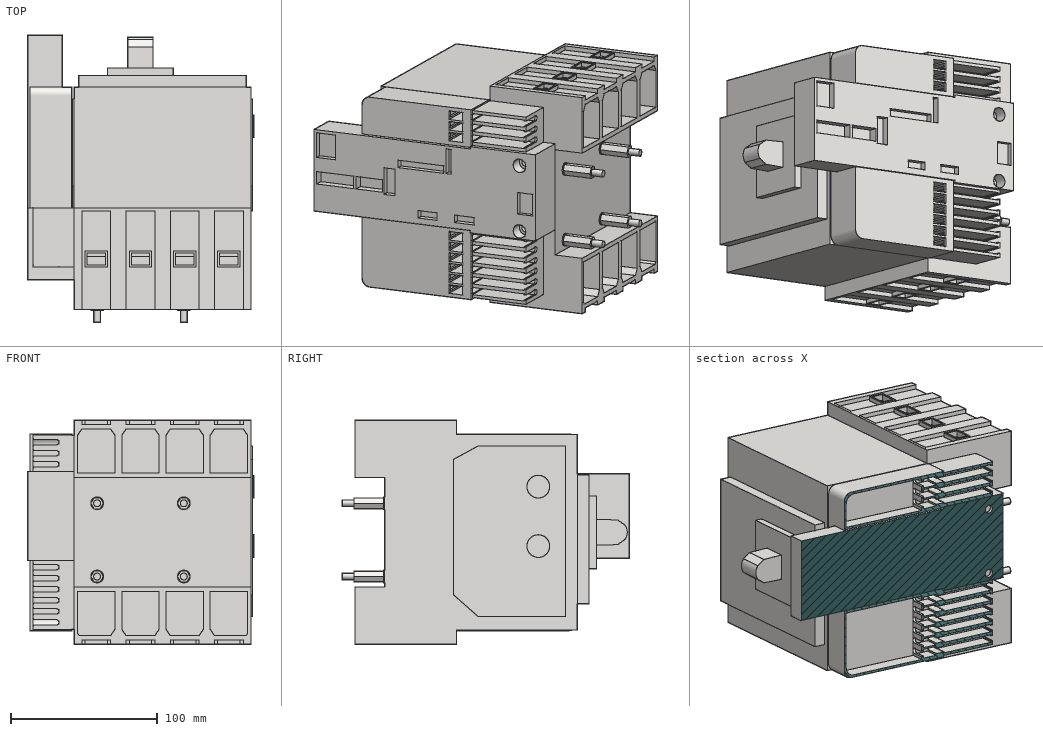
import cadquery as cq


HOUSING_HALF_WIDTH = 60.4
HOUSING_HALF_HEIGHT = 66.8
HOUSING_BACK = 131.5
BLOCK_FRONT = -20.4
BLOCK_BACK = 49.2
BLOCK_INNER = 37.2
OVERALL_HEIGHT = 153.0
BLOCK_OUTER = OVERALL_HEIGHT / 2
REAR_PANEL_HALF_WIDTH = 57.2
REAR_PANEL_BOTTOM = -48.8
REAR_PANEL_TOP = 39.2
REAR_PANEL_BACK = 139.5

POLE_COUNT = 4
POLE_PITCH = 30.2
CHAMBER_WIDTH = 25.5
CHAMBER_INNER = 40.4
CHAMBER_OUTER = 70.5
CHAMBER_DEPTH = 39.2
CHAMBER_CHAMFER_X = 3.0
CHAMBER_CHAMFER_Z = 4.3
CORNER_CHAMFER = 1.4
GROOVE_WIDTH = 19.6
GROOVE_DEPTH = 3.0
GROOVE_BACK = 47.0
COLLAR_WIDTH = 15.3
COLLAR_FRONT = 8.6
COLLAR_BACK = 19.8
COLLAR_WALL = 1.4
COLLAR_STEP = 15.9
COLLAR_STEP_DEPTH = 1.4

PLATE_THICKNESS = 1.2
PLATE_FRONT = 47.0
PLATE_BACK = 123.5
PLATE_TOP = 59.0
PLATE_BOTTOM = -57.6
PLATE_CUT_Y = 16.9
PLATE_CUT_TOP = 9.2
PLATE_CUT_BOTTOM = 14.9
DISC_DIAMETER = 15.5
DISC_THICKNESS = 0.8
DISC_Y = 104.9
DISC_HEIGHTS = (31.2, -9.5)

HANDLE_X = -15.0
HANDLE_WIDTH = 17.5
BEZEL_WIDTH = 45.0
BEZEL_HALF_HEIGHT = 24.9
BEZEL_BACK = 144.6
HANDLE_ROOT_HALF = 8.8
HANDLE_SHOULDER_Y = 159.0
HANDLE_SHOULDER_HALF = 8.5
HANDLE_NOSE_Y = 164.0
HANDLE_NOSE_HALF = 4.9
HANDLE_TIP = 165.6

STANDOFF_XS = (-44.7, 14.5)
STANDOFF_ZS = (19.8, -30.2)
STANDOFF_HEX = 8.6
STANDOFF_LENGTH = 21.0
STANDOFF_WASHER = 0.8
STUD_DIAMETER = 4.7
STUD_TIP = -29.0

COVER_LEFT = -92.1
COVER_RIGHT = -68.5
COVER_BACK = 167.0
COVER_TOP = 40.0
COVER_BOTTOM = -17.8
COVER_FOOT_TOP = 41.5
COVER_FOOT_BOTTOM = -19.5
SCREW_Y = 12.0
SCREW_ZS = (32.3, -14.1)
SCREW_HEAD_DIAMETER = 9.5
SCREW_HEAD_DEPTH = 9.8
SCREW_HOLE_DIAMETER = 5.5
SCREW_HOLE_DEPTH = 13.7
COVER_RECESSES = (
    (151.0, 165.0, 20.4, 37.8, 4.9),
    (137.2, 165.0, 1.5, 10.4, 6.9),
    (115.5, 135.2, 1.5, 10.4, 6.9),
    (106.0, 114.3, 0.2, 19.0, 4.9),
    (69.2, 103.5, 20.4, 25.7, 4.9),
    (63.5, 67.5, 20.4, 37.8, 4.9),
    (74.3, 88.4, -13.5, -8.2, 4.9),
    (46.3, 61.0, -13.5, -8.2, 4.9),
    (2.2, 13.3, -2.0, 13.3, 3.5),
)

MODULE_LEFT = -90.5
MODULE_RIGHT = -62.0
MODULE_HALF_HEIGHT = 67.2
MODULE_FILLET = 5.9
COVER_GAP = 0.5
FOOT_LEFT = -88.4
FOOT_FRONT = 8.8
FOOT_HALF_HEIGHT = 66.2
SLOT_OUTERMOST = 61.5
UPPER_SLOT_INNERMOST = 46.5
UPPER_SLOT_COUNT = 3
SLOT_PITCH = (SLOT_OUTERMOST - UPPER_SLOT_INNERMOST) / (UPPER_SLOT_COUNT - 1)
LOWER_SLOT_COUNT = 6
SLOT_RIGHT = -70.8
TUNNEL_HEIGHT = 3.7
SIDE_SLOT_HEIGHT = 5.0
SLOT_WALL = 1.4
WINDOW_FRONT = 55.7
WINDOW_BACK = 65.9
WINDOW_HEIGHT = 6.0
CAVITY_WALL = 2.0


def box(x0, x1, y0, y1, z0, z1):
    """Block between two values on each axis."""
    return cq.Workplane("XY").box(x1 - x0, y1 - y0, z1 - z0, centered=False).translate((x0, y0, z0))


def chamber(pole_x, side, left_chamfer, right_chamfer):
    """Wire chamber with its two outer corners cut off; side is +1 above, -1 below."""
    half = CHAMBER_WIDTH / 2
    outline = [
        (pole_x - half, side * CHAMBER_INNER),
        (pole_x + half, side * CHAMBER_INNER),
        (pole_x + half, side * (CHAMBER_OUTER - right_chamfer[1])),
        (pole_x + half - right_chamfer[0], side * CHAMBER_OUTER),
        (pole_x - half + left_chamfer[0], side * CHAMBER_OUTER),
        (pole_x - half, side * (CHAMBER_OUTER - left_chamfer[1])),
    ]
    front = cq.Workplane("XZ", origin=(0, BLOCK_FRONT, 0))
    return front.polyline(outline).close().extrude(-CHAMBER_DEPTH)


def groove(pole_x, side):
    """Groove along the block's outer face, leaving a flush collar around the screw well."""
    floor = BLOCK_OUTER - GROOVE_DEPTH
    half = COLLAR_WIDTH / 2
    inner_half = half - COLLAR_WALL
    well_front = COLLAR_FRONT + COLLAR_WALL
    well_back = COLLAR_BACK - COLLAR_WALL
    cut = box(-GROOVE_WIDTH / 2, GROOVE_WIDTH / 2, BLOCK_FRONT, GROOVE_BACK, floor, BLOCK_OUTER)
    cut = cut.cut(box(-half, half, COLLAR_FRONT, COLLAR_BACK, floor, BLOCK_OUTER))
    cut = cut.union(box(-inner_half, inner_half, well_front, well_back, floor, BLOCK_OUTER))
    cut = cut.union(
        box(-inner_half, inner_half, well_front, COLLAR_STEP, floor - COLLAR_STEP_DEPTH, BLOCK_OUTER)
    )
    if side < 0:
        cut = cut.mirror("XY")
    return cut.translate((pole_x, 0, 0))


def side_plate():
    """Thin plate on the +X wall with its two front corners cut off."""
    outline = [
        (PLATE_BACK, PLATE_TOP),
        (PLATE_FRONT + PLATE_CUT_Y, PLATE_TOP),
        (PLATE_FRONT, PLATE_TOP - PLATE_CUT_TOP),
        (PLATE_FRONT, PLATE_BOTTOM + PLATE_CUT_BOTTOM),
        (PLATE_FRONT + PLATE_CUT_Y, PLATE_BOTTOM),
        (PLATE_BACK, PLATE_BOTTOM),
    ]
    wall = cq.Workplane("YZ", origin=(HOUSING_HALF_WIDTH, 0, 0))
    return wall.polyline(outline).close().extrude(PLATE_THICKNESS)


def plate_recess():
    """Room for the housing's -X plate where the cover and module lie against the housing."""
    return side_plate().mirror("YZ")


def make_housing():
    """Breaker housing with its terminal blocks, rear panel, handle bezel and side plates."""
    width = HOUSING_HALF_WIDTH
    body = box(-width, width, 0, HOUSING_BACK, -HOUSING_HALF_HEIGHT, HOUSING_HALF_HEIGHT)
    for z0, z1 in ((BLOCK_INNER, BLOCK_OUTER), (-BLOCK_OUTER, -BLOCK_INNER)):
        body = body.union(box(-width, width, BLOCK_FRONT, BLOCK_BACK, z0, z1))

    full_cut = (CHAMBER_CHAMFER_X, CHAMBER_CHAMFER_Z)
    small_cut = (CORNER_CHAMFER, CORNER_CHAMFER)
    last = POLE_COUNT - 1
    for pole in range(POLE_COUNT):
        pole_x = (pole - last / 2) * POLE_PITCH
        for side in (1, -1):
            left_cut = small_cut if side < 0 and pole == 0 else full_cut
            right_cut = small_cut if side < 0 and pole == last else full_cut
            body = body.cut(chamber(pole_x, side, left_cut, right_cut))
            body = body.cut(groove(pole_x, side))

    body = body.union(
        box(
            -REAR_PANEL_HALF_WIDTH, REAR_PANEL_HALF_WIDTH,
            HOUSING_BACK, REAR_PANEL_BACK,
            REAR_PANEL_BOTTOM, REAR_PANEL_TOP,
        )
    )
    body = body.union(
        box(
            HANDLE_X - BEZEL_WIDTH / 2, HANDLE_X + BEZEL_WIDTH / 2,
            REAR_PANEL_BACK, BEZEL_BACK,
            -BEZEL_HALF_HEIGHT, BEZEL_HALF_HEIGHT,
        )
    )

    body = body.union(side_plate()).union(side_plate().mirror("YZ"))
    plate_face = cq.Workplane("YZ", origin=(HOUSING_HALF_WIDTH + PLATE_THICKNESS, 0, 0))
    discs = plate_face.pushPoints([(DISC_Y, z) for z in DISC_HEIGHTS])
    return body.union(discs.circle(DISC_DIAMETER / 2).extrude(DISC_THICKNESS))


def make_handle():
    """Toggle lever with tapering sides, sloping shoulders and a rounded tip."""
    profile = (
        cq.Workplane("YZ", origin=(HANDLE_X - HANDLE_WIDTH / 2, 0, 0))
        .moveTo(BEZEL_BACK, -HANDLE_ROOT_HALF)
        .lineTo(BEZEL_BACK, HANDLE_ROOT_HALF)
        .lineTo(HANDLE_SHOULDER_Y, HANDLE_SHOULDER_HALF)
        .lineTo(HANDLE_NOSE_Y, HANDLE_NOSE_HALF)
        .threePointArc((HANDLE_TIP, 0), (HANDLE_NOSE_Y, -HANDLE_NOSE_HALF))
        .lineTo(HANDLE_SHOULDER_Y, -HANDLE_SHOULDER_HALF)
        .close()
    )
    return profile.extrude(HANDLE_WIDTH)


def make_standoff(x, z):
    """Hexagonal spacer with a round washer at its base and a threaded stud at its tip."""
    base = cq.Workplane("XZ", origin=(x, 0, z))
    washer = base.circle(STANDOFF_HEX / 2).extrude(STANDOFF_WASHER)
    spacer = base.polygon(6, STANDOFF_HEX).extrude(STANDOFF_LENGTH)
    stud = base.circle(STUD_DIAMETER / 2).extrude(-STUD_TIP)
    return washer.union(spacer).union(stud)


def make_cover():
    """Long cover along the module, with a thicker foot reaching in to the housing."""
    arm = box(COVER_LEFT, COVER_RIGHT, 0, COVER_BACK, COVER_BOTTOM, COVER_TOP)
    foot = box(COVER_LEFT, -HOUSING_HALF_WIDTH, 0, BLOCK_BACK, COVER_FOOT_BOTTOM, COVER_FOOT_TOP)
    body = arm.union(foot)
    for y0, y1, z0, z1, depth in COVER_RECESSES:
        body = body.cut(box(COVER_LEFT, COVER_LEFT + depth, y0, y1, z0, z1))
    screws = cq.Workplane("YZ", origin=(COVER_LEFT, 0, 0)).pushPoints([(SCREW_Y, z) for z in SCREW_ZS])
    body = body.cut(screws.circle(SCREW_HEAD_DIAMETER / 2).extrude(SCREW_HEAD_DEPTH))
    body = body.cut(screws.circle(SCREW_HOLE_DIAMETER / 2).extrude(SCREW_HOLE_DEPTH))
    return body.cut(plate_recess())


def slot_cuts(z):
    """One wiring slot: side slot, window and the round-ended tunnel that links them."""
    radius = TUNNEL_HEIGHT / 2
    tunnel_back = HOUSING_BACK - MODULE_FILLET
    tunnel = box(FOOT_LEFT, SLOT_RIGHT - radius, FOOT_FRONT, tunnel_back, z - radius, z + radius)
    end = cq.Workplane("XZ", origin=(SLOT_RIGHT - radius, FOOT_FRONT, z)).circle(radius)
    tunnel = tunnel.union(end.extrude(FOOT_FRONT - tunnel_back))
    half_slot = SIDE_SLOT_HEIGHT / 2
    side = box(FOOT_LEFT, SLOT_RIGHT, FOOT_FRONT + SLOT_WALL, BLOCK_BACK, z - half_slot, z + half_slot)
    half_window = WINDOW_HEIGHT / 2
    window = box(MODULE_LEFT, SLOT_RIGHT, WINDOW_FRONT, WINDOW_BACK, z - half_window, z + half_window)
    return tunnel.union(side).union(window)


def cavity(bottom, top, rounded_edge):
    """Hollow behind the windows, rounded along its outer rear edge like the module itself."""
    hollow = box(FOOT_LEFT, SLOT_RIGHT, WINDOW_BACK + CAVITY_WALL, HOUSING_BACK - CAVITY_WALL, bottom, top)
    return hollow.edges(rounded_edge).fillet(MODULE_FILLET)


def make_module():
    """Hollow module split by the cover, with wiring slots above and below it."""
    half = MODULE_HALF_HEIGHT
    body = box(MODULE_LEFT, MODULE_RIGHT, BLOCK_BACK, HOUSING_BACK, -half, half)
    body = body.edges("|X and >Y").fillet(MODULE_FILLET)
    body = body.union(
        box(FOOT_LEFT, -HOUSING_HALF_WIDTH, FOOT_FRONT, BLOCK_BACK, -FOOT_HALF_HEIGHT, FOOT_HALF_HEIGHT)
    )
    body = body.cut(
        box(MODULE_LEFT, COVER_RIGHT, BLOCK_BACK, HOUSING_BACK, COVER_BOTTOM, COVER_TOP + COVER_GAP)
    )
    body = body.cut(
        box(FOOT_LEFT, -HOUSING_HALF_WIDTH, FOOT_FRONT, BLOCK_BACK, COVER_FOOT_BOTTOM, COVER_FOOT_TOP)
    )
    body = body.cut(plate_recess())

    for row in range(UPPER_SLOT_COUNT):
        body = body.cut(slot_cuts(SLOT_OUTERMOST - row * SLOT_PITCH))
    for row in range(LOWER_SLOT_COUNT):
        body = body.cut(slot_cuts(row * SLOT_PITCH - SLOT_OUTERMOST))

    inner_half = half - CAVITY_WALL
    body = body.cut(cavity(COVER_TOP + COVER_GAP + CAVITY_WALL, inner_half, ">Y and >Z"))
    return body.cut(cavity(-inner_half, COVER_BOTTOM - CAVITY_WALL, ">Y and <Z"))


housing = make_housing()
handle = make_handle()
cover = make_cover()
module = make_module()
standoffs = [make_standoff(x, z) for x in STANDOFF_XS for z in STANDOFF_ZS]

result = cq.Compound.makeCompound(
    [housing.val(), handle.val(), cover.val(), module.val(), *[standoff.val() for standoff in standoffs]]
)